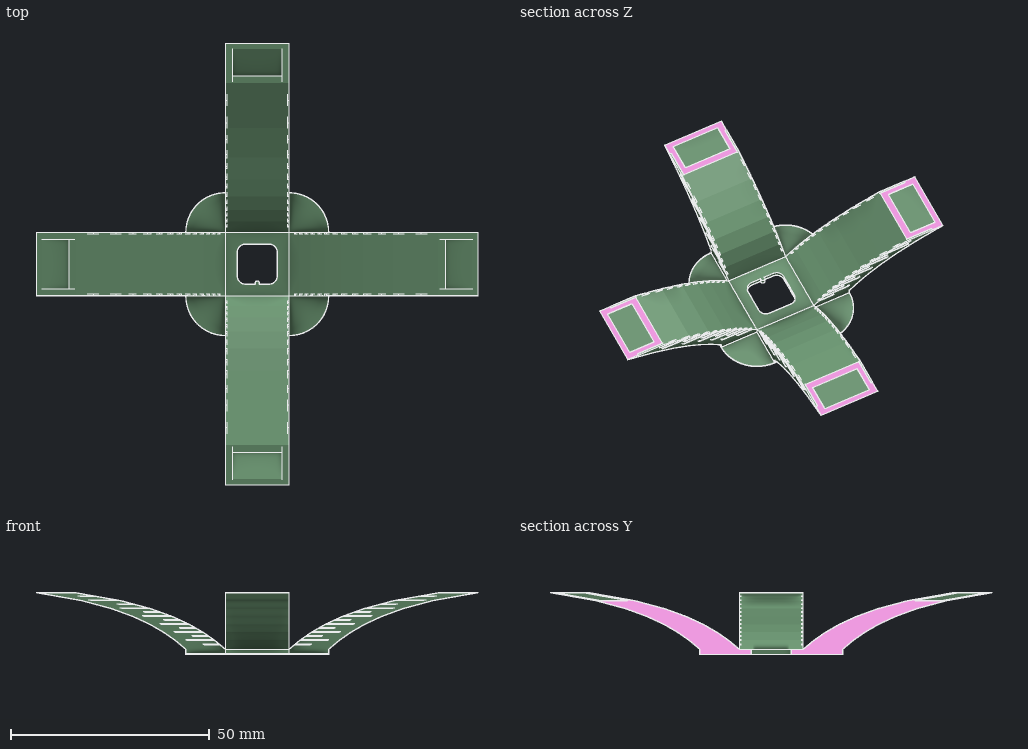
import cadquery as cq
import math

tip_reach = 55.5
total_height = 15.5

plate_half = 18.0
plate_corner_radius = 10.0
plate_thickness = 0.2

floor_height = 1.3
step_height = 2.0
step_angles = [40, 35, 30, 25, 20, 15, 10]
arm_count = 4
arm_run = 10.0

groove_height = 0.2
groove_depth = 0.4
long_groove_run = 7.0
short_groove_run = 4.0

pocket_wall_inner = 1.8
pocket_wall_outer = 1.4
pocket_wall_side = 1.8

opening_size = 10.0
opening_corner_radius = 2.0
key_radius = 0.5
key_center_y = -4.8

step_count = len(step_angles)
joint_heights = [floor_height]
for steps_above in reversed(range(step_count)):
    joint_heights.append(total_height - steps_above * step_height)

step_shifts = []
for index, angle in enumerate(step_angles):
    rise = joint_heights[index + 1] - joint_heights[index]
    step_shifts.append(rise / math.tan(math.radians(angle)))

core_half = tip_reach - arm_run - sum(step_shifts)
arm_width = 2 * core_half
joint_reaches = [core_half + sum(step_shifts[:index]) for index in range(step_count + 1)]


def upper_reach(step, height):
    """Distance from the centre to the arm's upper face, at a height within a step."""
    rise = height - joint_heights[step]
    return joint_reaches[step] + rise / math.tan(math.radians(step_angles[step]))


def slanted_block(step, bottom, top, start, end, width, center_y=0.0):
    """Block leaning with a step, between two horizontal offsets from the upper face."""
    low = upper_reach(step, bottom)
    high = upper_reach(step, top)
    outline = [(low + start, bottom), (low + end, bottom), (high + end, top), (high + start, top)]
    block = cq.Workplane("XZ").polyline(outline).close().extrude(width / 2, both=True)
    return block.translate((0, center_y, 0))


def arm_body():
    """Arm along +X, reaching back to the centre at its foot."""
    upper_face = list(zip(joint_reaches, joint_heights))
    lower_face = [(reach + arm_run, height) for reach, height in reversed(upper_face)]
    foot = [(core_half + arm_run, 0), (0, 0), (0, floor_height)]
    outline = upper_face + lower_face + foot
    return cq.Workplane("XZ").polyline(outline).close().extrude(arm_width / 2, both=True)


def side_grooves(step, bottom, run):
    """Pair of horizontal grooves, one in each side of the arm, open to the upper face."""
    center_y = (arm_width - groove_depth) / 2
    top = bottom + groove_height
    left = slanted_block(step, bottom, top, 0, run, groove_depth, center_y)
    right = slanted_block(step, bottom, top, 0, run, groove_depth, -center_y)
    return left.union(right)


def tip_pocket():
    """Slanted pocket as deep as the top step."""
    width = arm_width - 2 * pocket_wall_side
    bottom = total_height - step_height
    end = arm_run - pocket_wall_outer
    return slanted_block(step_count - 1, bottom, total_height, pocket_wall_inner, end, width)


def make_arm():
    arm = arm_body()
    for step in range(step_count):
        bottom = joint_heights[step]
        middle = (bottom + joint_heights[step + 1]) / 2
        arm = arm.cut(side_grooves(step, middle, short_groove_run))
        if step > 0:
            arm = arm.cut(side_grooves(step, bottom, long_groove_run))
    return arm.cut(tip_pocket())


def make_plate():
    plate = cq.Workplane("XY").rect(2 * plate_half, 2 * plate_half).extrude(plate_thickness)
    return plate.edges("|Z").fillet(plate_corner_radius)


def central_opening():
    """Rounded square opening with a small round key on its -Y side."""
    opening = cq.Workplane("XY").rect(opening_size, opening_size).extrude(floor_height)
    opening = opening.edges("|Z").fillet(opening_corner_radius)
    key = cq.Workplane("XY").center(0, key_center_y).circle(key_radius).extrude(floor_height)
    return opening.cut(key)


result = make_plate()
arm = make_arm()
for index in range(arm_count):
    result = result.union(arm.rotate((0, 0, 0), (0, 0, 1), index * 360 / arm_count))
result = result.cut(central_opening())